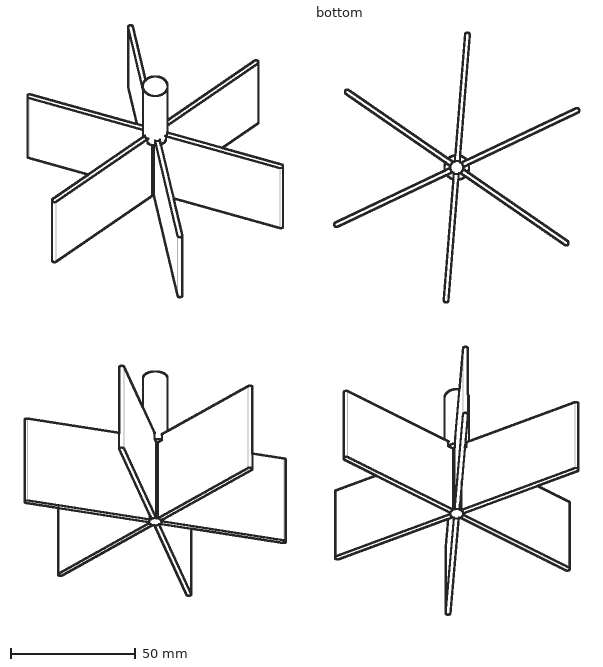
import cadquery as cq
import math

SHAFT_DIAMETER = 10.0
SHAFT_EXPOSED = 30.0
SHAFT_ENGAGEMENT = 2.9
CORE_FILLET = 0.5

BLADE_COUNT = 6
BLADE_HEIGHT = 40.0
TIP_RADIUS = 1.0
OVERALL_Y = 108.8
FIRST_BLADE_ANGLE = 34.6

BLADE_PITCH = 360.0 / BLADE_COUNT
HALF_PITCH = math.radians(BLADE_PITCH / 2)
BLADE_THICKNESS = 2 * TIP_RADIUS

LEAN_FROM_Y = FIRST_BLADE_ANGLE + BLADE_PITCH - 90.0
TIP_AXIS_RADIUS = (OVERALL_Y / 2 - TIP_RADIUS) / math.cos(math.radians(LEAN_FROM_Y))

FILLET_AXIS_RADIUS = (TIP_RADIUS + CORE_FILLET) / math.sin(HALF_PITCH)
BLADE_ROOT = FILLET_AXIS_RADIUS * math.cos(HALF_PITCH)


def turned(x, y, angle):
    """Point (x, y) turned about the shaft axis by an angle in degrees."""
    turn = math.radians(angle)
    return (
        x * math.cos(turn) - y * math.sin(turn),
        x * math.sin(turn) + y * math.cos(turn),
    )


def make_core(blade_angles):
    """Star-shaped core: one flat-ended arm per blade, joined by concave fillets."""
    outline = cq.Workplane("XY").moveTo(*turned(BLADE_ROOT, -TIP_RADIUS, blade_angles[0]))
    for angle in blade_angles:
        outline = outline.lineTo(*turned(BLADE_ROOT, TIP_RADIUS, angle))
        fillet_middle = turned(FILLET_AXIS_RADIUS - CORE_FILLET, 0, angle + BLADE_PITCH / 2)
        next_arm = turned(BLADE_ROOT, -TIP_RADIUS, angle + BLADE_PITCH)
        outline = outline.threePointArc(fillet_middle, next_arm)
    return outline.close().extrude(BLADE_HEIGHT)


def make_slot_cutter(angle):
    """Block that slots the round shaft for a blade, from its axis out past its rim."""
    return (
        cq.Workplane("XY")
        .box(SHAFT_DIAMETER, BLADE_THICKNESS, BLADE_HEIGHT, centered=(False, True, False))
        .rotate((0, 0, 0), (0, 0, 1), angle)
    )


def make_shaft(blade_angles):
    """Slotted round shaft on the core, which ends flush with the blade bottoms at Z = 0."""
    shaft = (
        cq.Workplane("XY")
        .workplane(offset=BLADE_HEIGHT - SHAFT_ENGAGEMENT)
        .circle(SHAFT_DIAMETER / 2)
        .extrude(SHAFT_ENGAGEMENT + SHAFT_EXPOSED)
    )
    for angle in blade_angles:
        shaft = shaft.cut(make_slot_cutter(angle))
    return shaft.union(make_core(blade_angles))


def make_blade(angle):
    """Radial blade with a flat root against the core and a semicircular outer end."""
    return (
        cq.Workplane("XY")
        .moveTo(BLADE_ROOT, -TIP_RADIUS)
        .lineTo(TIP_AXIS_RADIUS, -TIP_RADIUS)
        .threePointArc((TIP_AXIS_RADIUS + TIP_RADIUS, 0), (TIP_AXIS_RADIUS, TIP_RADIUS))
        .lineTo(BLADE_ROOT, TIP_RADIUS)
        .close()
        .extrude(BLADE_HEIGHT)
        .rotate((0, 0, 0), (0, 0, 1), angle)
    )


blade_angles = [FIRST_BLADE_ANGLE + i * BLADE_PITCH for i in range(BLADE_COUNT)]
shaft = make_shaft(blade_angles)
blades = [make_blade(angle) for angle in blade_angles]

result = cq.Compound.makeCompound([shaft.val(), *[blade.val() for blade in blades]])